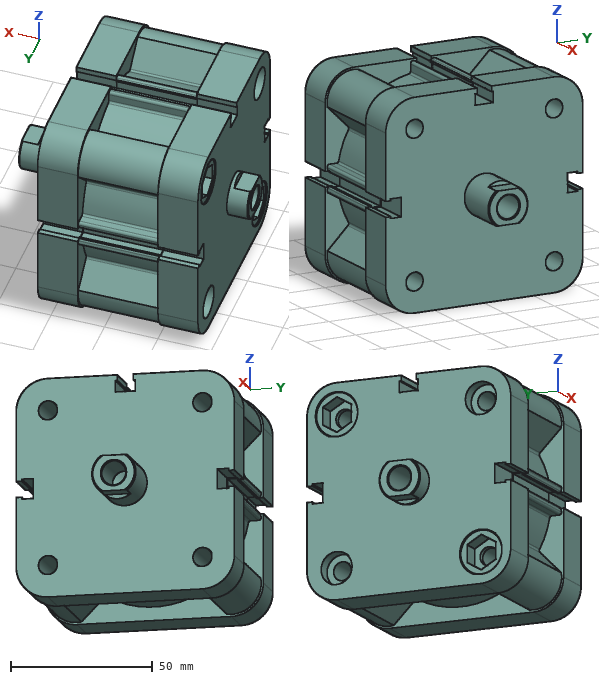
import cadquery as cq
import math

body_length = 60.0
cap_length = 15.0
barrel_length = body_length - 2 * cap_length

cap_width = 79.5
cap_half = cap_width / 2
corner_radius = 11.6
hole_spacing_half = cap_half - corner_radius
through_hole_diameter = 6.9
counterbore_diameter = 12.0
counterbore_depth = 5.0

core_radius = 34.8
post_radius = 10.8
arm_width = 17.5
arm_root_fillet = 1.0

rail_half_width = 5.3
rail_top = 39.0
rail_round = 1.0
rail_root_fillet = 0.9
rail_overlap = 2.1

slot_floor = 33.9
slot_half_width = 3.3
lip_half_gap = 2.6
lip_underside = 37.5
lip_corner_height = 38.3
lip_shoulder_height = 38.7

cap_slot_floor = 33.5
cap_slot_half_width = 3.6
cap_lip_half_gap = 2.9
cap_lip_depth = 2.1
slot_angles = (-90, 0, 90)

rod_diameter = 16.0
rod_radius = rod_diameter / 2
rod_length = 86.0
rod_front_projection = 8.0
rod_chamfer = 0.4
flat_half_width = 6.45
flat_length = 6.3
flat_run_out = 0.35
rod_hole_diameter = 8.8
rod_hole_mouth_diameter = 9.5
rod_hole_depth = 17.2
drill_point_angle = 118.0

screw_recess_diameter = 16.5
screw_diameter = 16.0
screw_setback = 0.4
screw_length = 8.6
hex_across_flats = 11.2
hex_depth = 6.5

screw_positions = [(hole_spacing_half, hole_spacing_half), (-hole_spacing_half, -hole_spacing_half)]
counterbore_positions = [(hole_spacing_half, -hole_spacing_half), (-hole_spacing_half, hole_spacing_half)]


def section_at(x):
    """YZ workplane at the given X, extruding toward +X."""
    return cq.Workplane("YZ", origin=(x, 0, 0))


def around_axis(solid, angle):
    """Turn a solid about the rod axis."""
    return solid.rotate((0, 0, 0), (1, 0, 0), angle)


def end_cap(x):
    cap = section_at(x).rect(cap_width, cap_width).extrude(cap_length).edges("|X").fillet(corner_radius)
    lip_end = cap_half - cap_lip_depth
    neck_height = cap_half - cap_slot_floor
    neck = (
        section_at(x)
        .center(0, cap_slot_floor + neck_height / 2)
        .rect(2 * cap_lip_half_gap, neck_height)
        .extrude(cap_length)
    )
    undercut_height = lip_end - cap_slot_floor
    undercut = (
        section_at(x)
        .center(0, cap_slot_floor + undercut_height / 2)
        .rect(2 * cap_slot_half_width, undercut_height)
        .extrude(cap_length)
    )
    slot = neck.union(undercut)
    for angle in slot_angles:
        cap = cap.cut(around_axis(slot, angle))
    return cap


def barrel_core():
    """Round core with four diagonal arms that end in rounded posts."""
    core = section_at(cap_length).circle(core_radius).extrude(barrel_length)
    centre_distance = hole_spacing_half * math.sqrt(2)
    tip_distance = centre_distance + post_radius
    for angle in (45, 135, 225, 315):
        arm = (
            section_at(cap_length)
            .center(centre_distance / 2, 0)
            .rect(centre_distance, arm_width)
            .extrude(barrel_length)
        )
        post = section_at(cap_length).center(centre_distance, 0).circle(post_radius).extrude(barrel_length)
        arm_envelope = section_at(cap_length).rect(2 * tip_distance, arm_width).extrude(barrel_length)
        core = core.union(around_axis(arm.union(post.intersect(arm_envelope)), angle))
    return core


def edges_at(solid, points):
    """Lengthwise edges of the barrel that pass through the given (y, z) points."""
    middle = cap_length + barrel_length / 2
    picked = solid.edges(cq.NearestToPointSelector((middle, *points[0])))
    for point in points[1:]:
        picked = picked.add(solid.edges(cq.NearestToPointSelector((middle, *point))))
    return picked


def ring_points(radius, angles):
    return [(radius * math.cos(math.radians(a)), radius * math.sin(math.radians(a))) for a in angles]


def barrel():
    arm_root_angle = math.degrees(math.asin(arm_width / 2 / core_radius))
    arm_roots = [45 + 90 * i + side * arm_root_angle for i in range(4) for side in (-1, 1)]
    solid = barrel_core()
    solid = edges_at(solid, ring_points(core_radius, arm_roots)).fillet(arm_root_fillet)

    rail_base = core_radius - rail_overlap
    rail_height = rail_top - rail_base
    rail = (
        section_at(cap_length)
        .center(0, rail_base + rail_height / 2)
        .rect(2 * rail_half_width, rail_height)
        .extrude(barrel_length)
        .edges("|X and >Z")
        .fillet(rail_round)
    )
    for angle in slot_angles:
        solid = solid.union(around_axis(rail, angle))

    rail_root_angle = math.degrees(math.asin(rail_half_width / core_radius))
    rail_roots = [90 + a + side * rail_root_angle for a in slot_angles for side in (-1, 1)]
    solid = edges_at(solid, ring_points(core_radius, rail_roots)).fillet(rail_root_fillet)

    rail_shoulder = rail_half_width - rail_round
    half_slot = [
        (slot_half_width, slot_floor),
        (slot_half_width, lip_underside),
        (lip_half_gap, lip_underside),
        (lip_half_gap, lip_corner_height),
        (slot_half_width, lip_shoulder_height),
        (rail_shoulder, rail_top),
    ]
    other_half = [(-y, z) for y, z in reversed(half_slot)]
    slot = section_at(cap_length).polyline(half_slot + other_half).close().extrude(barrel_length)
    for angle in slot_angles:
        solid = solid.cut(around_axis(slot, angle))
    return solid


def build_housing():
    housing = barrel().union(end_cap(0)).union(end_cap(body_length - cap_length))
    rod_bore = section_at(0).circle(rod_radius).extrude(body_length)
    through_holes = (
        section_at(0)
        .pushPoints(screw_positions + counterbore_positions)
        .circle(through_hole_diameter / 2)
        .extrude(body_length)
    )
    counterbores = (
        section_at(0)
        .pushPoints(counterbore_positions)
        .circle(counterbore_diameter / 2)
        .extrude(counterbore_depth)
    )
    screw_recesses = (
        section_at(0)
        .pushPoints(screw_positions)
        .circle(screw_recess_diameter / 2)
        .extrude(screw_setback + screw_length)
    )
    return housing.cut(rod_bore).cut(through_holes).cut(counterbores).cut(screw_recesses)


def rod_end_cutters():
    """Wrench flats and centre hole for the rod end at X = 0, with the rod running toward +X."""
    flat_profile = [
        (0, flat_half_width),
        (flat_length, flat_half_width),
        (flat_length + flat_run_out, rod_radius),
        (0, rod_radius),
    ]
    upper_flat = cq.Workplane("XZ").polyline(flat_profile).close().extrude(rod_radius, both=True)
    lower_flat = upper_flat.mirror("XY")

    hole_radius = rod_hole_diameter / 2
    mouth_radius = rod_hole_mouth_diameter / 2
    point_length = hole_radius / math.tan(math.radians(drill_point_angle / 2))
    hole = (
        cq.Workplane("XZ")
        .polyline([
            (0, 0),
            (0, mouth_radius),
            (mouth_radius - hole_radius, hole_radius),
            (rod_hole_depth, hole_radius),
            (rod_hole_depth + point_length, 0),
        ])
        .close()
        .revolve(360, (0, 0, 0), (1, 0, 0))
    )
    return upper_flat.union(lower_flat).union(hole)


def build_rod():
    rod = section_at(0).circle(rod_radius).extrude(rod_length).faces("<X or >X").edges().chamfer(rod_chamfer)
    front_cutters = rod_end_cutters()
    rear_cutters = front_cutters.mirror("YZ").translate((rod_length, 0, 0))
    return rod.cut(front_cutters).cut(rear_cutters).translate((-rod_front_projection, 0, 0))


def build_screw(position):
    """Slightly sunken hollow screw with a hexagon socket."""
    hex_across_corners = hex_across_flats / math.cos(math.radians(30))
    blank = section_at(0).circle(screw_diameter / 2).circle(through_hole_diameter / 2).extrude(screw_length)
    socket = around_axis(section_at(0).polygon(6, hex_across_corners).extrude(hex_depth), 90)
    return blank.cut(socket).translate((screw_setback, *position))


housing = build_housing()
rod = build_rod()
screws = [build_screw(position) for position in screw_positions]

result = cq.Compound.makeCompound([housing.val(), rod.val(), *[screw.val() for screw in screws]])